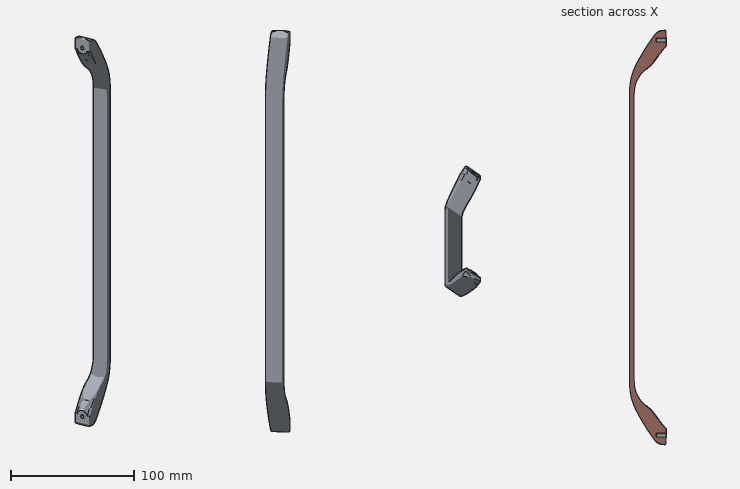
import cadquery as cq
import math

width = 14.97
height = 336.9
projection = 30.04
half_height = height / 2

bar_thickness = 4.2
grip_inner_y = projection - bar_thickness
edge_round = 1.0

inner_bend_z = half_height - 53.7
outer_bend_z = half_height - 50.0
foot_z = half_height - 28.3
pad_z = half_height - 8.0
pad_edge_z = half_height - 9.8

outer_foot = (24.8, foot_z)
outer_tip = (9.9, half_height - 4.3)
tip_round = 2.0
tip_crown = 1.0
inner_foot = (11.9, foot_z)
underside_mid = (5.2, half_height - 19.2)
inner_bend_mid = (20.3, half_height - 35.6)
foot_direction = (1, -1)
grip_direction = (0, -1)

pad_radius = 5.2
pad_depth = 6.0
pad_half_angle = math.radians(50.6)
hole_diameter = 3.0
hole_depth = 8.0


def half_bar():
    """Upper half of the handle, from mid-height to the tip."""
    profile = (
        cq.Workplane("YZ")
        .moveTo(grip_inner_y, 0)
        .lineTo(projection, 0)
        .lineTo(projection, outer_bend_z)
        .tangentArcPoint(outer_foot, relative=False)
        .tangentArcPoint(outer_tip, relative=False)
        .tangentArcPoint((tip_round, half_height), relative=False)
        .radiusArc((0, half_height - tip_round), -tip_round)
        .lineTo(0, pad_edge_z)
        .threePointArc(underside_mid, inner_foot)
        .spline(
            [inner_bend_mid, (grip_inner_y, inner_bend_z)],
            tangents=[foot_direction, grip_direction],
            includeCurrent=True,
        )
        .close()
    )
    return profile.extrude(width).translate((-width / 2, 0, 0))


def crowned_outline():
    """Front outline of the upper half, with its end arched across the width."""
    corner_z = half_height - tip_crown
    return (
        cq.Workplane("XZ")
        .moveTo(-width / 2, 0)
        .lineTo(-width / 2, corner_z)
        .threePointArc((0, half_height), (width / 2, corner_z))
        .lineTo(width / 2, 0)
        .close()
        .extrude(-projection)
    )


def pad_cone():
    """Half cone under the foot that widens from the mounting face into it."""
    base_radius = pad_radius + pad_depth * math.tan(pad_half_angle)
    cone = (
        cq.Workplane("XY")
        .lineTo(pad_radius, 0)
        .lineTo(base_radius, pad_depth)
        .lineTo(0, pad_depth)
        .close()
        .revolve(180, (0, 0, 0), (0, 1, 0))
        .translate((0, 0, pad_z))
    )
    clear_width = width - 2 * edge_round
    keep = cq.Workplane("XY").box(clear_width, 2 * pad_depth, height)
    return cone.intersect(keep)


def screw_hole():
    """Blind screw hole in the mounting face."""
    return (
        cq.Workplane("XZ", origin=(0, 0, pad_z))
        .circle(hole_diameter / 2)
        .extrude(-hole_depth)
    )


def rounded_half():
    """Upper half with its long side edges rounded."""
    body = half_bar()
    flank_edges = body.faces("<X or >X").edges("not(<Z)")
    return flank_edges.fillet(edge_round).intersect(crowned_outline())


upper = rounded_half().union(pad_cone()).cut(screw_hole())
result = upper.union(upper.mirror("XY"))